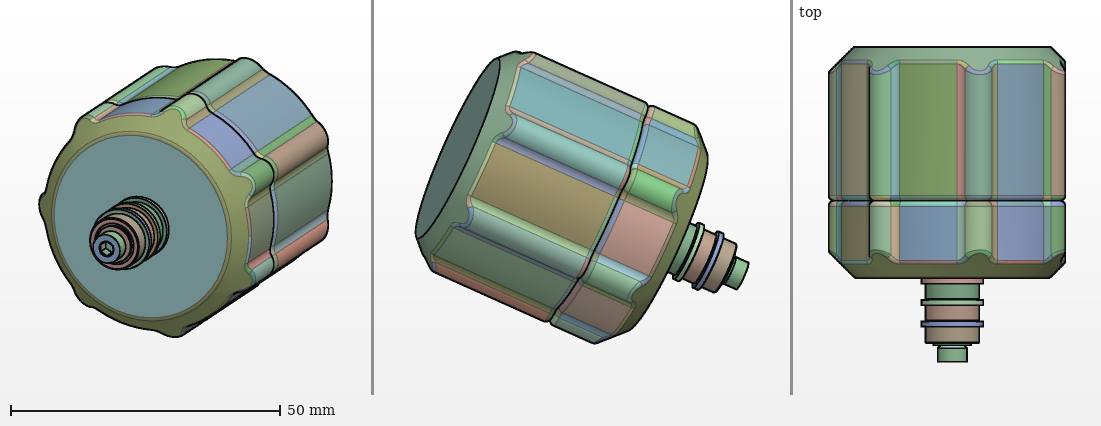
import cadquery as cq
import math


LOBE_COUNT = 7
FIRST_LOBE_ANGLE = 180.0
BODY_RADIUS = 21.0
LOBE_TIP_RADIUS = 23.0
LOBE_ROUND = 3.0
LOBE_FILLET = 2.0

CAP_LENGTH = 14.45
OVERALL_LENGTH = 58.5
KNOB_BACK = 43.0
FRONT_CHAMFER = 3.0
BACK_DIAMETER = 36.6
EDGE_FILLET = 1.0

STEM_DIAMETER = 10.0
STEM_LENGTH = 12.05
STEM_EDGE_CHAMFER = 0.2
RING_COUNT = 3
RING_DIAMETER = 11.5
RING_WIDTH = 1.0
RING_PITCH = 4.0
GROOVE_DIAMETER = 9.0
GROOVE_CLEARANCE = 0.2

SOCKET_DIAMETER = 7.9
SOCKET_DEPTH = 0.1
COLLAR_DIAMETER = 7.0
COLLAR_PROTRUSION = 0.35

HEAD_DIAMETER = 5.5
NECK_DIAMETER = 4.45
HEX_FLATS = 2.45
HEX_DEPTH = 2.5
HEX_LEAD_DIAMETER = 2.9

STEM_FRONT = -STEM_LENGTH
SOCKET_FLOOR = STEM_FRONT + SOCKET_DEPTH
COLLAR_FRONT = STEM_FRONT - COLLAR_PROTRUSION
HEAD_FRONT = KNOB_BACK - OVERALL_LENGTH


def polar(radius, angle, origin=(0.0, 0.0)):
    """Point at a radius and an angle in radians around an origin in the XZ plane."""
    return (origin[0] + radius * math.cos(angle), origin[1] + radius * math.sin(angle))


def cylinder(diameter, start, end):
    """Cylinder around the Y axis between two Y positions, with start < end."""
    return cq.Workplane("XZ", origin=(0, start, 0)).circle(diameter / 2).extrude(start - end)


def turned(points):
    """Solid of revolution around the Y axis from (radius, y) points."""
    return cq.Workplane("XY").polyline(points).close().revolve(360, (0, 0, 0), (0, 1, 0))


def lobed_prism(start, end):
    """Prism between two Y positions with rounded lobes blended into a round body."""
    lobe_center_radius = LOBE_TIP_RADIUS - LOBE_ROUND
    blend_center_radius = BODY_RADIUS + LOBE_FILLET
    center_distance = LOBE_ROUND + LOBE_FILLET
    blend_offset = math.acos(
        (lobe_center_radius**2 + blend_center_radius**2 - center_distance**2)
        / (2 * lobe_center_radius * blend_center_radius)
    )
    blend_center_x, blend_center_z = polar(blend_center_radius, blend_offset)
    toward_lobe = math.atan2(-blend_center_z, lobe_center_radius - blend_center_x)
    blend_middle = (toward_lobe + blend_offset - math.pi) / 2
    pitch = 2 * math.pi / LOBE_COUNT
    first_lobe = math.radians(FIRST_LOBE_ANGLE)

    outline = cq.Workplane("XZ", origin=(0, start, 0)).moveTo(*polar(BODY_RADIUS, first_lobe - blend_offset))
    for index in range(LOBE_COUNT):
        lobe = first_lobe + index * pitch
        before = polar(blend_center_radius, lobe - blend_offset)
        after = polar(blend_center_radius, lobe + blend_offset)
        outline = (
            outline.threePointArc(
                polar(LOBE_FILLET, lobe - blend_middle, before),
                polar(LOBE_FILLET, lobe - toward_lobe, before),
            )
            .threePointArc(
                polar(LOBE_TIP_RADIUS, lobe),
                polar(LOBE_FILLET, lobe + toward_lobe, after),
            )
            .threePointArc(
                polar(LOBE_FILLET, lobe + blend_middle, after),
                polar(BODY_RADIUS, lobe + blend_offset),
            )
            .threePointArc(
                polar(BODY_RADIUS, lobe + pitch / 2),
                polar(BODY_RADIUS, lobe + pitch - blend_offset),
            )
        )
    return outline.close().extrude(start - end)


def make_cap():
    """Front part of the handle: its front edge is chamfered at 45 degrees and all rims are rounded."""
    face_radius = BODY_RADIUS - FRONT_CHAMFER
    envelope = turned(
        [(0, 0), (face_radius, 0), (face_radius + CAP_LENGTH, CAP_LENGTH), (0, CAP_LENGTH)]
    )
    return lobed_prism(0, CAP_LENGTH).intersect(envelope).edges("not |Y").fillet(EDGE_FILLET)


def make_knob():
    """Rear part of the handle: its back edge is chamfered at 45 degrees with a sharp back rim."""
    length = KNOB_BACK - CAP_LENGTH
    back_radius = BACK_DIAMETER / 2
    envelope = turned(
        [(0, CAP_LENGTH), (back_radius + length, CAP_LENGTH), (back_radius, KNOB_BACK), (0, KNOB_BACK)]
    )
    blank = lobed_prism(CAP_LENGTH, KNOB_BACK).intersect(envelope)
    return blank.edges("not |Y").edges("not >Y").fillet(EDGE_FILLET)


def ring_front(index):
    """Y position of the front side of a sealing ring, counted from the cap."""
    return -RING_WIDTH - index * RING_PITCH


def make_ring(index):
    """Sealing ring of rectangular section."""
    front = ring_front(index)
    outside = cylinder(RING_DIAMETER, front, front + RING_WIDTH)
    return outside.cut(cylinder(GROOVE_DIAMETER, front, front + RING_WIDTH))


def make_stem():
    """Stem on the cap face, with ring grooves and a shallow socket for the collar and the pin."""
    stem = cylinder(STEM_DIAMETER, STEM_FRONT, 0).faces("<Y").edges().chamfer(STEM_EDGE_CHAMFER)
    for index in range(RING_COUNT):
        front = ring_front(index)
        back = front + RING_WIDTH + GROOVE_CLEARANCE
        groove = cylinder(RING_DIAMETER, front, back).cut(cylinder(GROOVE_DIAMETER, front, back))
        stem = stem.cut(groove)
    return stem.cut(cylinder(SOCKET_DIAMETER, STEM_FRONT, SOCKET_FLOOR))


def make_collar():
    """Collar on the socket floor, around the neck of the pin."""
    outside = cylinder(COLLAR_DIAMETER, COLLAR_FRONT, SOCKET_FLOOR)
    return outside.cut(cylinder(NECK_DIAMETER, COLLAR_FRONT, SOCKET_FLOOR))


def make_pin():
    """Pin whose neck fills the collar. Its head is chamfered at 45 degrees towards the collar
    and has a hexagon socket with a conical lead-in.
    """
    head_radius = HEAD_DIAMETER / 2
    neck_radius = NECK_DIAMETER / 2
    head_back = COLLAR_FRONT - (head_radius - neck_radius)
    pin = turned(
        [
            (0, HEAD_FRONT),
            (head_radius, HEAD_FRONT),
            (head_radius, head_back),
            (neck_radius, COLLAR_FRONT),
            (neck_radius, SOCKET_FLOOR),
            (0, SOCKET_FLOOR),
        ]
    )
    hex_corners = HEX_FLATS / math.cos(math.pi / 6)
    hexagon = (
        cq.Workplane("XZ", origin=(0, HEAD_FRONT, 0))
        .transformed(rotate=(0, 0, 90))
        .polygon(6, hex_corners)
        .extrude(-HEX_DEPTH)
    )
    lead_radius = HEX_LEAD_DIAMETER / 2
    lead_in = turned([(0, HEAD_FRONT), (lead_radius, HEAD_FRONT), (0, HEAD_FRONT + lead_radius)])
    return pin.cut(hexagon).cut(lead_in)


cap = make_cap()
knob = make_knob()
stem = make_stem()
rings = [make_ring(index) for index in range(RING_COUNT)]
collar = make_collar()
pin = make_pin()

result = cq.Compound.makeCompound(
    [cap.val(), knob.val(), stem.val(), *[ring.val() for ring in rings], collar.val(), pin.val()]
)